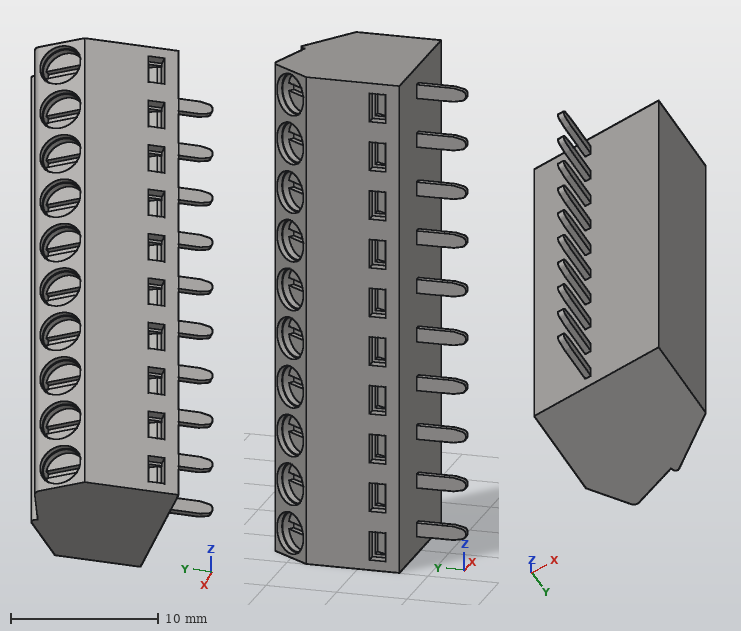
import cadquery as cq
import math

body_width = 10.0
body_length = 35
body_depth = 9.5
pole_count = 10
pitch = body_length / pole_count

screw_face_start = 6.6
screw_face_angle = 54
ridge_radius = 0.5
lid_angle = 18.3
step_x = 5.7
step_radius = 0.28
back_start = 6.02
back_angle = 35

well_diameter = 2.95
well_depth = 0.42
screw_diameter = 2.8
screw_depth = 0.95
screw_center_height = 8.05
driver_slot_width = 0.55
driver_slot_depth = 0.42

entry_bottom = 0.98
entry_height = 1.15
entry_length = 2.03
entry_depth = 0.75
entry_rim = 0.2
clamp_ledge = 0.28
clamp_ledge_depth = 0.18
clamp_tilt = 28

pin_x = 4.35
pin_thickness = 0.45
pin_width = 0.98
pin_length = 3.5
pin_taper_length = 0.55
pin_nose_length = 0.3
pin_nose_width = 0.75
pin_root = 0.35


def direction(degrees):
    angle = math.radians(degrees)
    return cq.Vector(math.cos(angle), math.sin(angle), 0)


def crossing(point_a, direction_a, point_b, direction_b):
    """Point where two lines in the XY plane meet."""
    gap = point_b - point_a
    travel = gap.cross(direction_b).z / direction_a.cross(direction_b).z
    return point_a + direction_a * travel


def body():
    screw_edge = cq.Vector(0, screw_face_start)
    back_edge = cq.Vector(body_width, back_start)
    screw_line = direction(screw_face_angle)
    lid_line = direction(-lid_angle)
    step_line = direction(90 - lid_angle)
    back_line = direction(180 - back_angle)

    ridge_center = crossing(
        screw_edge + direction(screw_face_angle - 90) * ridge_radius,
        screw_line,
        cq.Vector(0, body_depth - ridge_radius),
        cq.Vector(1, 0),
    )
    lid_point = ridge_center + step_line * ridge_radius
    ridge = crossing(screw_edge, screw_line, lid_point, lid_line)
    step_foot = crossing(lid_point, lid_line, cq.Vector(step_x, 0), cq.Vector(0, 1))
    step_top = crossing(step_foot, step_line, back_edge, back_line)

    corners = [(0, 0), screw_edge, ridge, step_foot, step_top, back_edge, (body_width, 0)]
    block = cq.Workplane("XY").polyline(corners).close().extrude(body_length)
    for corner, radius in [(ridge, ridge_radius), (step_top, step_radius)]:
        edge = cq.NearestToPointSelector((corner.x, corner.y, body_length / 2))
        block = block.edges(edge).fillet(radius)
    return block


def screw_recess(z):
    center_x = (screw_center_height - screw_face_start) / math.tan(math.radians(screw_face_angle))
    face = cq.Plane(
        origin=(center_x, screw_center_height, z),
        xDir=direction(screw_face_angle),
        normal=direction(screw_face_angle + 90),
    )
    well = cq.Workplane(face).circle(well_diameter / 2).extrude(-well_depth)
    recess = cq.Workplane(face).circle(screw_diameter / 2).extrude(-screw_depth)
    full_depth = screw_depth + driver_slot_depth
    slot = cq.Workplane(face).rect(screw_diameter, driver_slot_width).extrude(-full_depth)
    round_limit = cq.Workplane(face).circle(screw_diameter / 2).extrude(-full_depth)
    return well.union(recess).union(slot.intersect(round_limit))


def wire_entry(z):
    entry = cq.Workplane("XY").box(entry_depth, entry_height, entry_length, centered=(False, False, True))
    entry = entry.translate((0, entry_bottom, z))

    inner_length = entry_length - 2 * entry_rim
    inner_top = entry_bottom + entry_height - entry_rim
    ledge_top = entry_bottom + clamp_ledge
    ledge_x = entry_depth + clamp_ledge_depth
    clamp_end_x = ledge_x + (inner_top - ledge_top) * math.tan(math.radians(clamp_tilt))
    clamp = (
        cq.Workplane("XY")
        .workplane(offset=z - inner_length / 2)
        .polyline([
            (0, entry_bottom),
            (ledge_x, entry_bottom),
            (ledge_x, ledge_top),
            (clamp_end_x, inner_top),
            (0, inner_top),
        ])
        .close()
        .extrude(inner_length)
    )
    return entry.union(clamp)


def pin(z):
    nose_start = -pin_length + pin_nose_length
    taper_start = nose_start + pin_taper_length
    half_width = pin_width / 2
    half_nose = pin_nose_width / 2
    return (
        cq.Workplane("YZ", origin=(pin_x, 0, z))
        .moveTo(pin_root, half_width)
        .lineTo(taper_start, half_width)
        .lineTo(nose_start, half_nose)
        .threePointArc((-pin_length, 0), (nose_start, -half_nose))
        .lineTo(taper_start, -half_width)
        .lineTo(pin_root, -half_width)
        .close()
        .extrude(pin_thickness / 2, both=True)
    )


result = body()
for pole in range(pole_count):
    pole_z = (pole + 0.5) * pitch
    result = result.cut(screw_recess(pole_z)).cut(wire_entry(pole_z)).union(pin(pole_z))